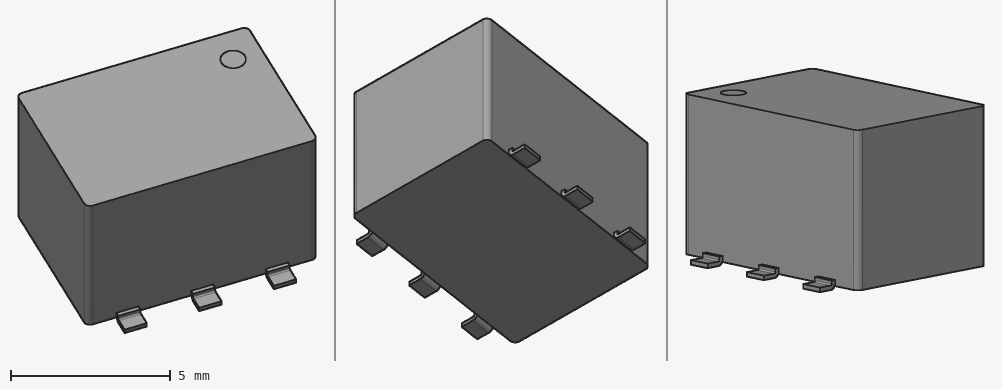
import cadquery as cq

overall_width = 6.91
overall_height = 5.23

housing_width = 5.59
housing_length = 7.87
housing_corner_radius = 0.2
standoff = 0.1
housing_height = overall_height - standoff

marker_diameter = 0.8
marker_depth = 0.1
marker_from_left = 1.2
marker_from_back = 1.0
marker_x = -housing_width / 2 + marker_from_left
marker_y = housing_length / 2 - marker_from_back

lead_pitch = 2.54
leads_per_side = 3
lead_width = 0.76
lead_thickness = 0.15
lead_height = 0.3
bend_inner_radius = 0.05
bend_outer_radius = bend_inner_radius + lead_thickness


def make_marker():
    return (
        cq.Workplane("XY", origin=(marker_x, marker_y, overall_height - marker_depth))
        .circle(marker_diameter / 2)
        .extrude(marker_depth)
    )


def make_housing():
    """Block with rounded upright edges and a recess for the marker."""
    block = (
        cq.Workplane("XY", origin=(0, 0, standoff))
        .rect(housing_width, housing_length)
        .extrude(housing_height)
        .edges("|Z")
        .fillet(housing_corner_radius)
    )
    return block.cut(make_marker())


def make_lead(side, y_center):
    """One lead; side is -1 for the -X row and +1 for the +X row."""
    toe_x = side * overall_width / 2
    heel_x = side * housing_width / 2
    upright_x = heel_x + side * lead_thickness
    bend_x = heel_x + side * bend_outer_radius
    bend_z = bend_outer_radius
    return (
        cq.Workplane("XZ", origin=(0, y_center, 0))
        .moveTo(toe_x, 0)
        .lineTo(bend_x, 0)
        .radiusArc((heel_x, bend_z), side * bend_outer_radius)
        .lineTo(heel_x, lead_height)
        .lineTo(upright_x, lead_height)
        .lineTo(upright_x, bend_z)
        .radiusArc((bend_x, lead_thickness), -side * bend_inner_radius)
        .lineTo(toe_x, lead_thickness)
        .close()
        .extrude(lead_width / 2, both=True)
    )


housing = make_housing()
marker = make_marker()

leads = []
for side in (-1, 1):
    for row in range(leads_per_side):
        y_center = (row - (leads_per_side - 1) / 2) * lead_pitch
        leads.append(make_lead(side, y_center))

result = cq.Compound.makeCompound([housing.val(), marker.val(), *[lead.val() for lead in leads]])